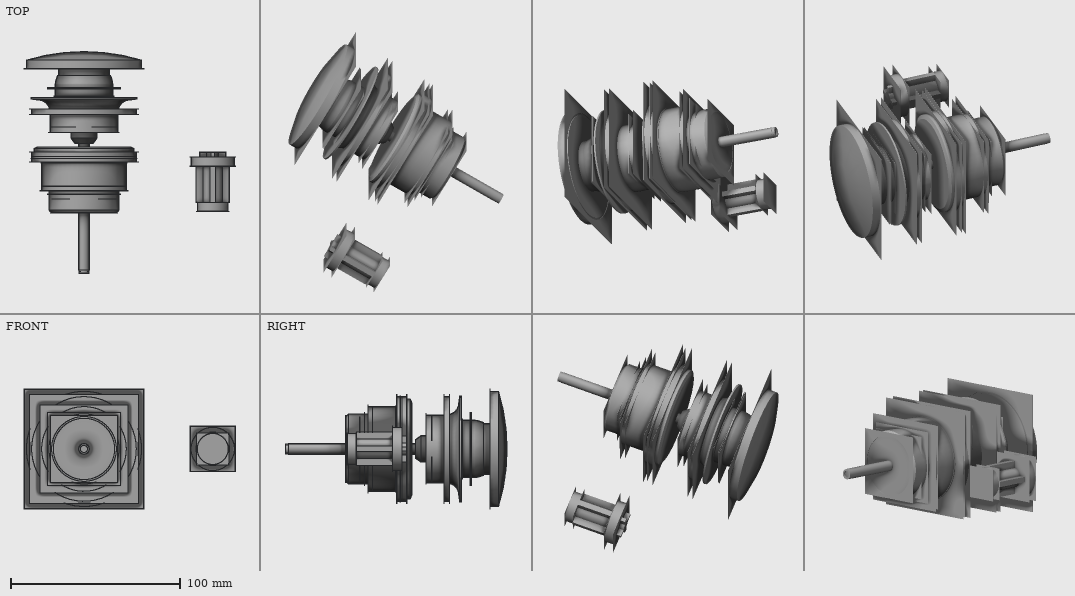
import cadquery as cq


SHEET = 0.1
SHEET_RATIO = 1.04

cap_radius = 34.01
dome_depth = 5.1
cap_depth = 10.2
cap_groove_outer_radius = 32.0
cap_groove_inner_radius = 30.8
cap_groove_depth = 0.5
neck_radius = 15.0
neck_depth = 14.0
shoulder_radius = 15.6
shoulder_mid = (16.5, 16.4)
barrel_radius = 17.0
barrel_top = 19.2
barrel_sheet_depth = 26.3
barrel_bottom = 27.0

washer_radius = 20.7
washer_top = 21.1
washer_bottom = 22.0

flare_radius = 31.2
flare_lip_depth = 28.0
flare_shelf_radius = 27.0
flare_shelf_depth = 28.6
flare_mid = (22.7, 30.2)
flare_foot_radius = 20.4
flare_bottom = 33.9

flange_radius = 30.9
upper_flange_bottom = 37.3
sleeve_radius = 20.0
sleeve_bottom = 47.9
sleeve_sheet_half = 19.4
sleeve_sheet_depth = 44.4

nut_radius = 7.8
nut_taper_top = 50.9
nut_tip_radius = 5.4
nut_bottom = 54.2

rod_radius = 3.15
rod_bottom = 130.91
rod_tip_radius = 3.05
rod_tip_top = 129.0
rod_bore_radius = 2.1
rod_bore_depth = 1.0
rod_sheet_half = 2.28

seal_top = 56.2
seal_top_radius = 27.2
seal_bevel_depth = 57.3
seal_rim_radius = 29.5
seal_flange_top = 59.2
seal_bottom = 62.0

housing_sheet_depth = 63.0
housing_sheet_half = 31.3
housing_flange_bottom = 65.2
housing_collar_radius = 25.4
housing_collar_bottom = 65.9
housing_radius = 25.0
housing_lower_sheet_half = 25.05
housing_lower_sheet_depth = 79.5
housing_bottom = 82.2

tail_radius = 20.7
tail_sheet_depth = 84.2
tail_inner_sheet_half = 18.8
tail_inner_sheet_depth = 87.0
tail_bevel_top = 93.6
tail_end_radius = 19.05
tail_bottom = 95.3
tail_recess_radius = 18.1
tail_recess_depth = 0.3

plug_x = 76.0
plug_top = 59.3
plug_disc_top = 62.1
plug_disc_bottom = 67.8
plug_foot_top = 89.0
plug_bottom = 94.4
plug_disc_radius = 12.8
plug_disc_sheet_half = 13.41
plug_foot_radius = 9.15
upper_core_radius = 3.7
upper_rib_reach = 7.7
upper_rib_width = 2.2
lower_core_radius = 6.0
lower_rib_reach = 9.9
lower_rib_width = 3.2


def disc(radius, top, bottom):
    """Cylinder on the main axis between two depths."""
    return cq.Workplane("XZ", origin=(0, -top, 0)).circle(radius).extrude(bottom - top)


def bar(width, height, top, bottom):
    """Rectangular block centred on the main axis between two depths."""
    return cq.Workplane("XZ", origin=(0, -top, 0)).rect(width, height).extrude(bottom - top)


def sheet(half, top):
    """Thin square sheet across the axis, starting at the given depth."""
    return bar(2 * half, 2 * half, top, top + SHEET)


def face_sheet(radius, top):
    """Square sheet sized to overhang a round face of the given radius."""
    return sheet(SHEET_RATIO * radius, top)


def cone(top_radius, bottom_radius, top, bottom):
    """Solid cone frustum on the main axis."""
    half_section = [(0, -top), (top_radius, -top), (bottom_radius, -bottom), (0, -bottom)]
    return cq.Workplane("XY").polyline(half_section).close().revolve(360, (0, 0), (0, 1))


def cross(core_radius, reach, width, top, bottom):
    """Round core with four ribs."""
    body = disc(core_radius, top, bottom)
    body = body.union(bar(2 * reach, width, top, bottom))
    return body.union(bar(width, 2 * reach, top, bottom))


def make_cap():
    half_dome = (
        cq.Workplane("XY")
        .moveTo(0, -cap_depth)
        .lineTo(cap_radius, -cap_depth)
        .lineTo(cap_radius, -dome_depth)
    )
    sphere_radius = (cap_radius**2 + dome_depth**2) / (2 * dome_depth)
    half_radius = cap_radius / 2
    half_radius_depth = sphere_radius - (sphere_radius**2 - half_radius**2) ** 0.5
    body = (
        half_dome.threePointArc((half_radius, -half_radius_depth), (0, 0))
        .close()
        .revolve(360, (0, 0), (0, 1))
    )
    stem = (
        cq.Workplane("XY")
        .moveTo(0, -cap_depth)
        .lineTo(neck_radius, -cap_depth)
        .lineTo(neck_radius, -neck_depth)
        .lineTo(shoulder_radius, -neck_depth)
        .threePointArc((shoulder_mid[0], -shoulder_mid[1]), (barrel_radius, -barrel_top))
        .lineTo(barrel_radius, -barrel_bottom)
        .lineTo(0, -barrel_bottom)
        .close()
        .revolve(360, (0, 0), (0, 1))
    )
    body = body.union(stem)
    body = body.union(face_sheet(cap_radius, cap_depth - SHEET))
    body = body.union(face_sheet(barrel_radius, barrel_sheet_depth))
    groove_floor = cap_depth - cap_groove_depth
    groove = disc(cap_groove_outer_radius, groove_floor, cap_depth)
    groove = groove.cut(disc(cap_groove_inner_radius, groove_floor, cap_depth))
    return body.cut(groove)


def make_washer():
    body = disc(washer_radius, washer_top, washer_bottom)
    body = body.union(face_sheet(washer_radius, washer_top))
    body = body.union(face_sheet(washer_radius, washer_bottom - SHEET))
    return body.cut(disc(barrel_radius, washer_top, washer_bottom))


def make_flared_ring():
    return (
        cq.Workplane("XY")
        .moveTo(0, -barrel_bottom)
        .lineTo(flare_radius, -barrel_bottom)
        .lineTo(flare_radius, -flare_lip_depth)
        .lineTo(flare_shelf_radius, -flare_shelf_depth)
        .threePointArc((flare_mid[0], -flare_mid[1]), (flare_foot_radius, -flare_bottom))
        .lineTo(0, -flare_bottom)
        .close()
        .revolve(360, (0, 0), (0, 1))
    )


def make_sleeve():
    body = disc(flange_radius, flare_bottom, upper_flange_bottom)
    body = body.union(disc(sleeve_radius, upper_flange_bottom, sleeve_bottom))
    body = body.union(face_sheet(flange_radius, flare_bottom))
    body = body.union(face_sheet(flange_radius, upper_flange_bottom - SHEET))
    body = body.union(sheet(sleeve_sheet_half, sleeve_sheet_depth))
    return body.union(face_sheet(sleeve_radius, sleeve_bottom - SHEET))


def make_nut():
    body = disc(nut_radius, sleeve_bottom, nut_taper_top)
    return body.union(cone(nut_radius, nut_tip_radius, nut_taper_top, nut_bottom))


def make_rod():
    bore_floor = rod_bottom - rod_bore_depth
    body = disc(rod_radius, nut_bottom, rod_tip_top)
    body = body.union(disc(rod_tip_radius, rod_tip_top, rod_bottom))
    body = body.union(sheet(rod_sheet_half, bore_floor - SHEET))
    return body.cut(disc(rod_bore_radius, bore_floor, rod_bottom))


def make_seal():
    body = cone(seal_top_radius, seal_rim_radius, seal_top, seal_bevel_depth)
    body = body.union(disc(seal_rim_radius, seal_bevel_depth, seal_flange_top))
    body = body.union(disc(flange_radius, seal_flange_top, seal_bottom))
    body = body.union(face_sheet(flange_radius, seal_flange_top))
    return body.cut(disc(rod_radius, seal_top, seal_bottom))


def make_housing():
    body = disc(flange_radius, seal_bottom, housing_flange_bottom)
    body = body.union(disc(housing_radius, housing_flange_bottom, housing_bottom))
    body = body.union(disc(housing_collar_radius, housing_flange_bottom, housing_collar_bottom))
    body = body.union(sheet(housing_lower_sheet_half, housing_lower_sheet_depth))
    body = body.union(sheet(housing_sheet_half, housing_sheet_depth))
    body = body.union(face_sheet(flange_radius, housing_flange_bottom - SHEET))
    body = body.union(face_sheet(housing_radius, housing_bottom - SHEET))
    return body.cut(disc(rod_radius, seal_bottom, housing_bottom))


def make_tail():
    body = disc(tail_radius, housing_bottom, tail_bevel_top)
    body = body.union(cone(tail_radius, tail_end_radius, tail_bevel_top, tail_bottom))
    body = body.union(face_sheet(tail_radius, tail_sheet_depth))
    body = body.union(sheet(tail_inner_sheet_half, tail_inner_sheet_depth))
    body = body.union(face_sheet(tail_end_radius, tail_bottom - SHEET))
    body = body.cut(disc(tail_recess_radius, tail_bottom - tail_recess_depth, tail_bottom))
    return body.cut(disc(rod_radius, housing_bottom, tail_bottom))


def make_plug():
    body = cross(upper_core_radius, upper_rib_reach, upper_rib_width, plug_top, plug_disc_top)
    body = body.union(disc(plug_disc_radius, plug_disc_top, plug_disc_bottom))
    body = body.union(
        cross(lower_core_radius, lower_rib_reach, lower_rib_width, plug_disc_bottom, plug_foot_top)
    )
    body = body.union(disc(plug_foot_radius, plug_foot_top, plug_bottom))
    body = body.union(sheet(plug_disc_sheet_half, plug_disc_top))
    body = body.union(sheet(plug_disc_sheet_half, plug_disc_bottom - SHEET))
    body = body.union(face_sheet(plug_foot_radius, plug_foot_top))
    body = body.union(face_sheet(plug_foot_radius, plug_bottom - SHEET))
    return body.translate((plug_x, 0, 0))


bodies = [
    make_cap(),
    make_washer(),
    make_flared_ring(),
    make_sleeve(),
    make_nut(),
    make_rod(),
    make_seal(),
    make_housing(),
    make_tail(),
    make_plug(),
]
result = cq.Compound.makeCompound([body.val() for body in bodies])